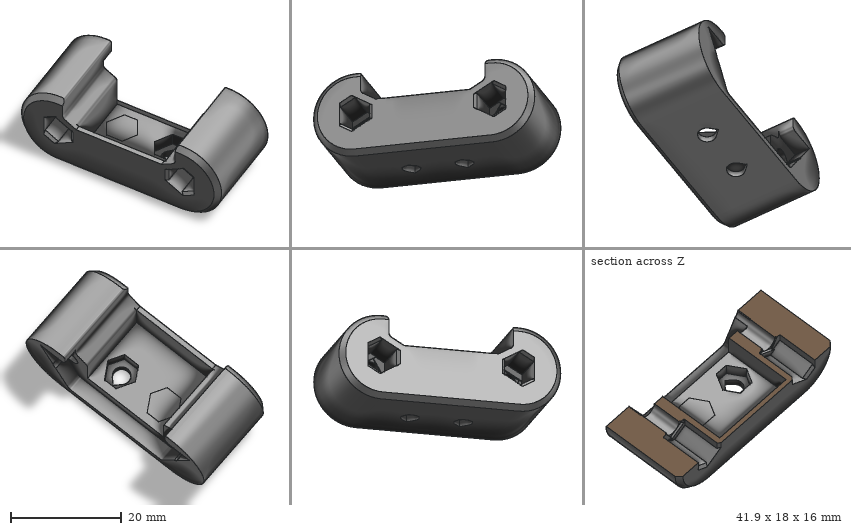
import cadquery as cq
import math

LENGTH = 41.85
DEPTH = 18.0
HEIGHT = 16.0
END_RADIUS = HEIGHT / 2
BOLT_X = LENGTH / 2 - END_RADIUS
FRONT_CHAMFER = 1.0
CUT_TOP = 1.5 * END_RADIUS
TOLERANCE = 0.05

LIP_X = 11.75
LIP_ROUND = 0.6
CORNER_ROUND = 1.0
CHANNEL_X = 8.9
FRONT_WALL = 1.0
FRONT_WALL_TOP = 2.3
CHANNEL_FLOOR = -4.2
SHOULDER_SLOPE = math.tan(math.radians(30))
SHOULDER_TOP = FRONT_WALL_TOP + (LIP_X - CHANNEL_X) * SHOULDER_SLOPE

RECESS_DEPTH = 3.0
RECESS_Y = DEPTH - RECESS_DEPTH
RECESS_FLOOR = -6.65
RECESS_ROOF = 4.8
RECESS_FLOOR_X = 10.9
RECESS_SLOPE = math.tan(math.radians(60))
RECESS_ROOF_X = RECESS_FLOOR_X + (RECESS_ROOF - RECESS_FLOOR) / RECESS_SLOPE

HOLE_DIAMETER = 3.4
POCKET_INRADIUS = 2.75
POCKET_DEPTH = 8.35
POCKET_CHAMFER = 0.55
STEP_DEPTH = 0.25
STEP_ANGLE = 30.0

NUT_X = 5.02
NUT_Y = 10.0
NUT_INRADIUS = 2.8
NUT_CLEARANCE = 0.45
NUT_DEPTH = 2.45


def hexagon(side_distances, first_angle):
    """Corners of a hexagon whose sides lie at the given distances from its centre.

    first_angle is the direction, in degrees, from the centre to the first side.
    """
    turn = math.radians(60)
    corners = []
    for side, near in enumerate(side_distances):
        far = side_distances[(side + 1) % 6]
        along = (far - near * math.cos(turn)) / math.sin(turn)
        angle = math.radians(first_angle) + side * turn
        corners.append((
            near * math.cos(angle) - along * math.sin(angle),
            near * math.sin(angle) + along * math.cos(angle),
        ))
    return corners


def front_plane(y, x=0.0):
    """Workplane facing -Y with local axes X and Z; a negative extrusion goes toward +Y."""
    return cq.Workplane("XZ", origin=(x, y, 0))


def symmetric_cut(right_half, y, depth):
    """Prism along Y from the right half of its outline, listed from top to bottom."""
    left_half = [(-x, z) for x, z in reversed(right_half)]
    return front_plane(y).polyline(right_half + left_half).close().extrude(-depth)


def edges_at_level(z, half_length, y_start=0.0):
    """Selector for the edges at height z within half_length of the middle, from y_start back."""
    return cq.selectors.BoxSelector(
        (-half_length - TOLERANCE, y_start, z - TOLERANCE),
        (half_length + TOLERANCE, DEPTH, z + TOLERANCE),
    )


def make_blank():
    """Bar with rounded ends and a chamfered front edge."""
    bar = front_plane(0).slot2D(LENGTH, HEIGHT).extrude(-DEPTH)
    return bar.faces("<Y").chamfer(FRONT_CHAMFER)


def make_opening():
    """Space between the two upright ends, with sloping shoulders at its bottom."""
    right_half = [(LIP_X, CUT_TOP), (LIP_X, SHOULDER_TOP), (CHANNEL_X, FRONT_WALL_TOP)]
    opening = symmetric_cut(right_half, 0, DEPTH)
    return opening.edges("|Y").edges(edges_at_level(SHOULDER_TOP, LIP_X)).fillet(CORNER_ROUND)


def make_channel():
    """Rectangular channel between the front wall and the recess."""
    right_half = [(CHANNEL_X, FRONT_WALL_TOP), (CHANNEL_X, CHANNEL_FLOOR)]
    return symmetric_cut(right_half, FRONT_WALL, RECESS_Y - FRONT_WALL)


def make_recess():
    """Recess open to the back, and to the top between the upright ends."""
    right_half = [
        (LIP_X, CUT_TOP),
        (LIP_X, RECESS_ROOF),
        (RECESS_ROOF_X, RECESS_ROOF),
        (RECESS_FLOOR_X, RECESS_FLOOR),
    ]
    recess = symmetric_cut(right_half, RECESS_Y, RECESS_DEPTH)
    for level, half_length in ((RECESS_FLOOR, RECESS_FLOOR_X), (RECESS_ROOF, LIP_X)):
        recess = recess.edges("|Y").edges(edges_at_level(level, half_length)).fillet(CORNER_ROUND)
    return recess


def make_bolt_hole():
    """Right-hand bolt hole with its hexagonal pocket, chamfered mouth and two steps."""
    pocket_outline = hexagon([POCKET_INRADIUS] * 6, 60)
    mouth_outline = hexagon([POCKET_INRADIUS + POCKET_CHAMFER, POCKET_INRADIUS] * 3, 60)
    start = front_plane(0, BOLT_X)
    pocket = start.polyline(pocket_outline).close().extrude(-POCKET_DEPTH)
    mouth = (
        start.polyline(mouth_outline).close()
        .workplane(offset=-POCKET_CHAMFER).polyline(pocket_outline).close()
        .loft(ruled=True)
    )
    end = front_plane(POCKET_DEPTH, BOLT_X)
    turned_end = end.transformed(rotate=(0, 0, -STEP_ANGLE))
    slot = turned_end.rect(4 * POCKET_INRADIUS, HOLE_DIAMETER).extrude(-STEP_DEPTH)
    slot = slot.intersect(end.polyline(pocket_outline).close().extrude(-STEP_DEPTH))
    square = turned_end.rect(HOLE_DIAMETER, HOLE_DIAMETER).extrude(-2 * STEP_DEPTH)
    hole = start.circle(HOLE_DIAMETER / 2).extrude(-DEPTH)
    return pocket.union(mouth).union(slot).union(square).union(hole)


def make_nut_prism(x):
    """Hexagonal prism from the channel floor down to the bottom of a nut pocket."""
    outline = hexagon([NUT_INRADIUS + NUT_CLEARANCE] + [NUT_INRADIUS] * 5, 90)
    floor = cq.Workplane("XY", origin=(x, NUT_Y, CHANNEL_FLOOR))
    return floor.polyline(outline).close().extrude(-NUT_DEPTH)


def make_teardrop_hole(x):
    """Vertical hole below a nut pocket, drawn out to a right-angled point toward +Y."""
    radius = HOLE_DIAMETER / 2
    tangent = radius * math.sqrt(0.5)
    return (
        cq.Workplane("XY", origin=(x, NUT_Y, -END_RADIUS))
        .moveTo(-tangent, tangent)
        .lineTo(0, 2 * tangent)
        .lineTo(tangent, tangent)
        .threePointArc((0, -radius), (-tangent, tangent))
        .close()
        .extrude(CHANNEL_FLOOR + END_RADIUS)
    )


def make_bracket():
    bracket = make_blank().cut(make_opening()).cut(make_channel()).cut(make_recess())
    bracket = bracket.edges("|Y").edges(edges_at_level(END_RADIUS, LIP_X)).fillet(LIP_ROUND)
    channel_rims = edges_at_level(FRONT_WALL_TOP, CHANNEL_X, FRONT_WALL)
    bracket = bracket.edges("|Y").edges(channel_rims).fillet(CORNER_ROUND)
    bolt_hole = make_bolt_hole()
    bracket = bracket.cut(bolt_hole).cut(bolt_hole.mirror("YZ"))
    for x in (-NUT_X, NUT_X):
        bracket = bracket.cut(make_nut_prism(x)).cut(make_teardrop_hole(x))
    return bracket


bracket = make_bracket()
plug = make_nut_prism(-NUT_X)

result = cq.Compound.makeCompound([bracket.solids().val(), plug.val()])